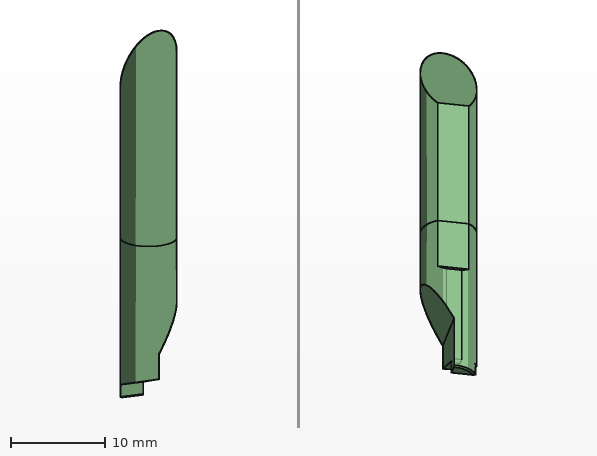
import cadquery as cq
import math

diameter = 6.0
radius = diameter / 2
length = 42.0
joint_z = 18.0

top_angle = 60.0
flat_x = -2.48
flat_bottom_z = 12.45

relief_depth = 0.115
relief_x = relief_depth - radius
relief_top_z = 11.95
relief_bottom_z = 1.0

tip_depth = 0.05
tip_x = tip_depth - radius
tip_top_z = 0.45
tip_chamfer = 0.15
neck_x = -1.43

shoulder_inner_z = 1.5
shoulder_outer_z = 3.15

rake_top_z = 5.95
rake_angle = 60.0

margin = 2.1
reach = radius + margin


def bar(bottom, top):
    """Round bar between two heights."""
    return cq.Workplane("XY").workplane(offset=bottom).circle(radius).extrude(top - bottom)


def prism_along_y(points):
    """Closed XZ outline carried across the whole bar along Y."""
    return cq.Workplane("XZ").polyline(points).close().extrude(reach, both=True)


def prism_along_x(points):
    """Closed YZ outline carried across the whole bar along X."""
    return cq.Workplane("YZ").polyline(points).close().extrude(reach, both=True)


def side_relief():
    """Everything outside the stepped -X side: tip, relief flat, clamping flat."""
    return prism_along_y([
        (-reach, -margin),
        (tip_x, -margin),
        (tip_x, tip_top_z),
        (relief_x, relief_bottom_z),
        (relief_x, relief_top_z),
        (flat_x, flat_bottom_z),
        (flat_x, length + margin),
        (-reach, length + margin),
    ])


def slanted_top():
    """Wedge above the slope that ends in a point on the +X side."""
    drop = (radius + reach) * math.tan(math.radians(top_angle))
    return prism_along_y([(radius, length), (-reach, length - drop), (-reach, length)])


def rake_face():
    """Space on the +Y side of the rake face and its run-out."""
    rise = reach * math.tan(math.radians(rake_angle))
    return prism_along_x([
        (0, -margin),
        (0, rake_top_z),
        (reach, rake_top_z + rise),
        (reach, -margin),
    ])


def neck_clearance():
    """Space on the +X side of the neck, below the slanted shoulder."""
    slope = (shoulder_outer_z - shoulder_inner_z) / (radius - neck_x)
    return prism_along_y([
        (neck_x, -margin),
        (neck_x, shoulder_inner_z),
        (reach, shoulder_outer_z + margin * slope),
        (reach, -margin),
    ])


def make_shank():
    return bar(joint_z, length).cut(side_relief()).cut(slanted_top())


def make_head():
    head = bar(0, joint_z).cut(side_relief()).cut(rake_face())
    head = head.cut(neck_clearance())
    return head.faces("<Z").edges("not >Y").chamfer(tip_chamfer)


shank = make_shank()
head = make_head()

result = cq.Compound.makeCompound([shank.val(), head.val()])